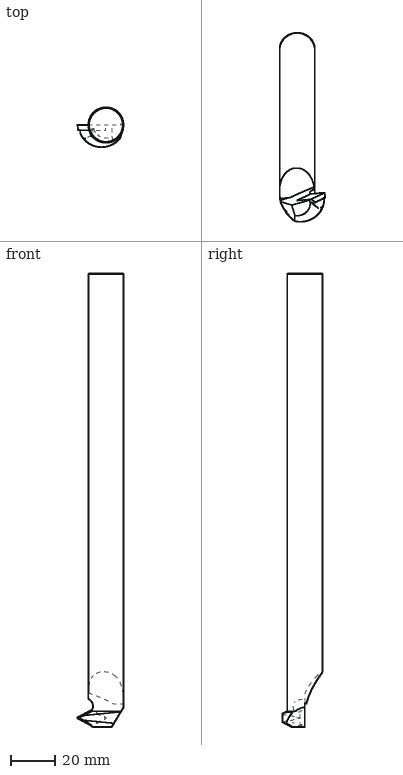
import cadquery as cq
import math


shank_radius = 15.98 / 2
head_bottom = -4.2
total_length = 205.05
shank_top = head_bottom + total_length
shank_chamfer = 0.4
reach = 30.0

tip_x = shank_radius - 20.89
point_angle = 55.0
half_point = math.radians(point_angle / 2)
inscribed_radius = 6.35 / 2
insert_thickness = 2.38
clearance_angle = 7.0
nose_radius = 0.4

neck_top = 4.7
neck_bottom = 2.0
neck_flare = 0.15

cone_radius = 13.9
head_axis_x = -2.0
head_axis_y = 0.4
head_radius = 18.09 - shank_radius + head_axis_y
head_top = 4.5
edge_slope = math.tan(half_point)

relief_top = (shank_radius, neck_top)
relief_knee = (6.7, 2.7)
relief_bottom_x = 2.6

seat_depth = 5.9
seat_tip_x = -12.2
seat_nose_x = -11.7
seat_knee_x = -8.3
seat_bottom_x = -6.0

notch_wall_x = -5.9
notch_radius = 3.6
notch_center_z = 5.3

flute_turn = 9.0
flute_top = (8.0, 21.0)
flute_middle = (2.6, 14.0)
flute_end = (-0.5, 6.5)
flat_top = flute_end[1]


def make_insert():
    """Diamond insert with its rake face on Y = 0 and tapered sides."""
    half_length = inscribed_radius / math.sin(half_point)
    half_width = inscribed_radius / math.cos(half_point)
    nose_setback = nose_radius * (1 / math.sin(half_point) - 1)
    center_x = tip_x - nose_setback + half_length
    corners = [
        (center_x - half_length, 0),
        (center_x, half_width),
        (center_x + half_length, 0),
        (center_x, -half_width),
    ]
    outline = cq.Sketch().polygon(corners + corners[:1]).vertices().fillet(nose_radius)
    return cq.Workplane("XZ").placeSketch(outline).extrude(insert_thickness, taper=clearance_angle)


def make_shank():
    """Round bar with a chamfered top and a flared neck."""
    outline = [
        (0, neck_bottom),
        (shank_radius + neck_flare, neck_bottom),
        (shank_radius, neck_top),
        (shank_radius, shank_top - shank_chamfer),
        (shank_radius - shank_chamfer, shank_top),
        (0, shank_top),
    ]
    return cq.Workplane("XZ").polyline(outline).close().revolve(360, (0, 0), (0, 1))


def make_notch():
    """Round groove along Y that clears the shank beside the insert."""
    center_x = notch_wall_x - notch_radius
    return cq.Workplane("XZ").center(center_x, notch_center_z).circle(notch_radius).extrude(reach, both=True)


def make_head():
    """Round flange with conical top and bottom, trimmed around the insert seat."""
    outline = [
        (0, head_bottom),
        (cone_radius + head_bottom / edge_slope, head_bottom),
        (cone_radius, 0),
        (cone_radius - head_top / edge_slope, head_top),
        (0, head_top),
    ]
    cones = cq.Workplane("XZ").polyline(outline).close().revolve(360, (0, 0), (0, 1))
    rim = (
        cq.Workplane("XY", origin=(head_axis_x, head_axis_y, head_bottom))
        .circle(head_radius)
        .extrude(head_top - head_bottom)
    )
    flange = cones.intersect(rim)
    nose_half_height = (seat_nose_x - seat_tip_x) * edge_slope
    seat_rise = (notch_wall_x - seat_tip_x) * edge_slope
    seat_drop = (seat_knee_x - seat_tip_x) * edge_slope
    seat_outline = [
        (seat_nose_x, nose_half_height),
        (seat_nose_x, -nose_half_height),
        (seat_knee_x, -seat_drop),
        (seat_bottom_x, head_bottom),
        (reach, head_bottom),
        (reach, reach),
        (notch_wall_x, reach),
        (notch_wall_x, seat_rise),
    ]
    seat = cq.Workplane("XZ").polyline(seat_outline).close().extrude(seat_depth)
    back = cq.Workplane("XZ", origin=(0, -seat_depth, 0)).rect(2 * reach, 2 * reach).extrude(reach)
    return flange.intersect(seat.union(back))


def make_end_relief():
    """Wedge that slopes the right-hand end of the head back toward its bottom."""
    outline = [
        relief_top,
        relief_knee,
        (relief_bottom_x, head_bottom),
        (reach, head_bottom),
        (reach, relief_top[1]),
    ]
    return cq.Workplane("XZ").polyline(outline).close().extrude(reach, both=True)


def make_flute():
    """Everything to remove on the rake side: the curved runout and the flat at Y = 0."""
    runout = (
        cq.Workplane("YZ")
        .moveTo(*flute_top)
        .threePointArc(flute_middle, flute_end)
        .lineTo(reach, flute_end[1])
        .lineTo(reach, flute_top[1] + reach - flute_top[0])
        .close()
        .extrude(reach, both=True)
        .rotate((0, 0, 0), (0, 0, 1), flute_turn)
    )
    rake_side = cq.Workplane("XY").box(2 * reach, reach, 4 * reach, centered=(True, False, True))
    flat = cq.Workplane("XY", origin=(0, 0, flat_top - reach)).box(
        2 * reach, reach, reach, centered=(True, False, False)
    )
    return runout.intersect(rake_side).union(flat)


insert = make_insert()
bar = make_shank().cut(make_notch()).union(make_head())
bar = bar.cut(make_end_relief()).cut(make_flute()).cut(insert)

result = cq.Compound.makeCompound([bar.val(), insert.val()])